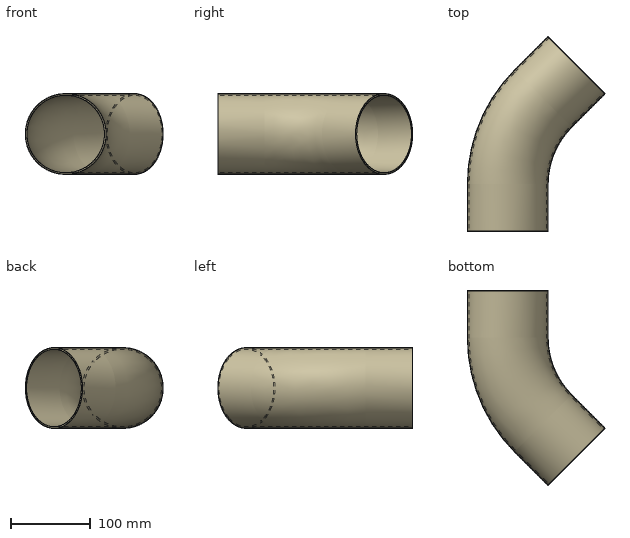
import cadquery as cq
import math

overall_length = 244.5
outer_diameter = 101.5
inner_diameter = 97.4
bend_radius = 152.5
bend_angle = 45.0

outer_radius = outer_diameter / 2
bend_sin = math.sin(math.radians(bend_angle))
bend_cos = math.cos(math.radians(bend_angle))

bend_rise = bend_radius * bend_sin
rim_rise = outer_radius * bend_sin
tangent_length = (overall_length - bend_rise - rim_rise) / (1 + bend_cos)


def arc_point(angle):
    """Point on the bend centreline after turning by the given angle in degrees."""
    turn = math.radians(angle)
    return (
        bend_radius * (1 - math.cos(turn)),
        tangent_length + bend_radius * math.sin(turn),
    )


bend_end = arc_point(bend_angle)
outlet_center = (
    bend_end[0] + tangent_length * bend_sin,
    bend_end[1] + tangent_length * bend_cos,
)
centerline = (
    cq.Workplane("XY")
    .lineTo(0, tangent_length)
    .threePointArc(arc_point(bend_angle / 2), bend_end)
    .lineTo(*outlet_center)
)

result = (
    cq.Workplane("XZ")
    .circle(outer_radius)
    .circle(inner_diameter / 2)
    .sweep(centerline)
)